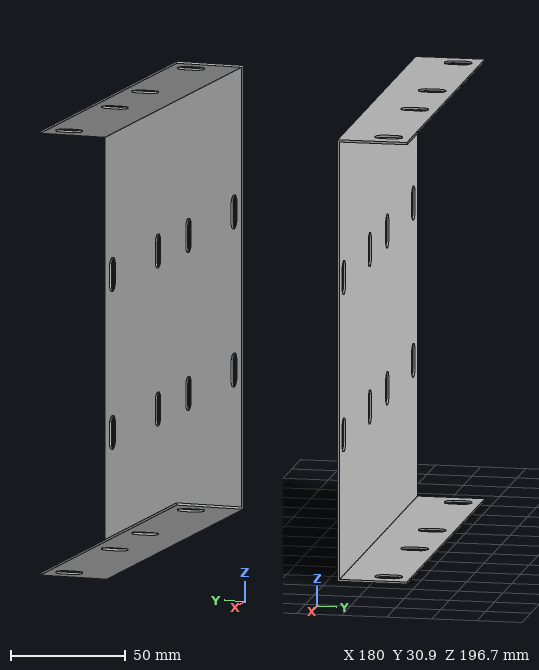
import cadquery as cq

width = 180.0
depth = 30.9
height = 196.7
sheet = 1.0

outer_column = 80.0
inner_column = 20.0
outer_slot_width = 7.5
inner_slot_width = 6.7

web_slot_length = 15.0
web_slot_row_offset = 35.0
web_slot_mid_height = height / 2

flange_slot_length = 12.0
flange_slot_setback = 20.9

columns = [
    (-outer_column, outer_slot_width),
    (-inner_column, inner_slot_width),
    (inner_column, inner_slot_width),
    (outer_column, outer_slot_width),
]


def web_slot(x, z, slot_width):
    """Upright slot cutter, overrunning both faces of the web."""
    return (
        cq.Workplane("XZ", origin=(0, 2 * sheet, 0))
        .center(x, z)
        .slot2D(web_slot_length, slot_width, 90)
        .extrude(3 * sheet)
    )


def flange_slots(x, slot_width):
    """Slot cutter through both flanges, its length running along Y."""
    return (
        cq.Workplane("XY")
        .center(x, flange_slot_setback)
        .slot2D(flange_slot_length, slot_width, 90)
        .extrude(height)
    )


blank = cq.Workplane("XY").box(width, depth, height, centered=(True, False, False))
hollow = (
    cq.Workplane("XY", origin=(0, sheet, sheet))
    .box(width, depth, height - 2 * sheet, centered=(True, False, False))
)
result = blank.cut(hollow)

for column_x, slot_width in columns:
    result = result.cut(flange_slots(column_x, slot_width))
    for side in (-1, 1):
        row_z = web_slot_mid_height + side * web_slot_row_offset
        result = result.cut(web_slot(column_x, row_z, slot_width))